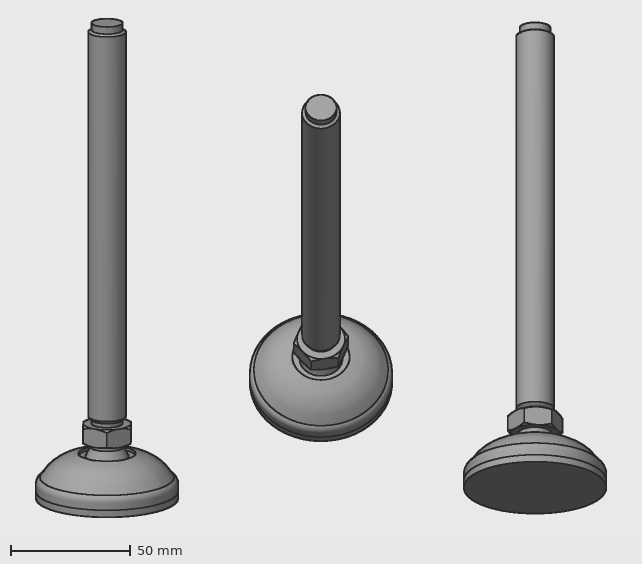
import cadquery as cq
import math

foot_diameter = 59.9
foot_radius = foot_diameter / 2
pad_height = 3.1
rim_top = 6.2
dome_bottom = 9.1
dome_bottom_radius = 28.2
dome_top = 19.5
dome_top_radius = 12.8
dome_bulge = 2.0

recess_radius = 12.0
recess_depth = 1.2
recess_floor = dome_top - recess_depth

overall_height = 207.2
seat_radius = 18.2 / 2
lower_neck_radius = 14.3 / 2
upper_neck_radius = 13.0 / 2
shaft_radius = 16.0 / 2
flare_top = 22.4
hex_bottom = 24.5
hex_height = 8.0
hex_top = hex_bottom + hex_height
hex_across_flats = 20.0
hex_across_corners = hex_across_flats / math.cos(math.pi / 6)
hex_face_radius = hex_across_flats / 2
hex_chamfer_angle = 30.0
shaft_bottom = 34.2
bottom_chamfer_height = shaft_radius - upper_neck_radius
top_chamfer_height = 0.8
tip_length = 3.1
shaft_top = overall_height - tip_length


def revolve_profile(profile):
    """Close a radius-height profile and turn it around the Z axis."""
    return profile.close().revolve(360, (0, 0, 0), (0, 1, 0))


def arc_middle(start, end, bulge):
    """Point on an arc, offset from the chord's middle to the right of its direction."""
    run = end[0] - start[0]
    rise = end[1] - start[1]
    chord = math.hypot(run, rise)
    middle_radius = (start[0] + end[0]) / 2 + bulge * rise / chord
    middle_height = (start[1] + end[1]) / 2 - bulge * run / chord
    return (middle_radius, middle_height)


def make_pad():
    return cq.Workplane("XY").circle(foot_radius).extrude(pad_height)


def make_housing():
    dome_start = (dome_bottom_radius, dome_bottom)
    dome_end = (dome_top_radius, dome_top)
    profile = (
        cq.Workplane("XZ")
        .moveTo(0, pad_height)
        .lineTo(foot_radius, pad_height)
        .lineTo(foot_radius, rim_top)
        .tangentArcPoint(dome_start, relative=False)
        .threePointArc(arc_middle(dome_start, dome_end, dome_bulge), dome_end)
        .lineTo(recess_radius, dome_top)
        .lineTo(recess_radius, recess_floor)
        .lineTo(0, recess_floor)
    )
    return revolve_profile(profile)


def make_hexagon():
    """Hexagon with corners along X, its corners chamfered at both ends."""
    prism = (
        cq.Workplane("XY", origin=(0, 0, hex_bottom))
        .polygon(6, hex_across_corners)
        .extrude(hex_height)
    )
    corner_radius = hex_across_corners / 2
    corner_drop = (corner_radius - hex_face_radius) * math.tan(math.radians(hex_chamfer_angle))
    chamfer_envelope = revolve_profile(
        cq.Workplane("XZ")
        .moveTo(0, hex_bottom)
        .lineTo(hex_face_radius, hex_bottom)
        .lineTo(corner_radius, hex_bottom + corner_drop)
        .lineTo(corner_radius, hex_top - corner_drop)
        .lineTo(hex_face_radius, hex_top)
        .lineTo(0, hex_top)
    )
    return prism.intersect(chamfer_envelope)


def make_stud():
    stem = revolve_profile(
        cq.Workplane("XZ")
        .moveTo(0, recess_floor)
        .lineTo(seat_radius, recess_floor)
        .lineTo(lower_neck_radius, flare_top)
        .lineTo(lower_neck_radius, hex_bottom)
        .lineTo(upper_neck_radius, hex_bottom)
        .lineTo(upper_neck_radius, shaft_bottom)
        .lineTo(shaft_radius, shaft_bottom + bottom_chamfer_height)
        .lineTo(shaft_radius, shaft_top - top_chamfer_height)
        .lineTo(upper_neck_radius, shaft_top)
        .lineTo(upper_neck_radius, overall_height)
        .lineTo(0, overall_height)
    )
    return stem.union(make_hexagon())


pad = make_pad()
housing = make_housing()
stud = make_stud()

result = cq.Compound.makeCompound([pad.val(), housing.val(), stud.val()])